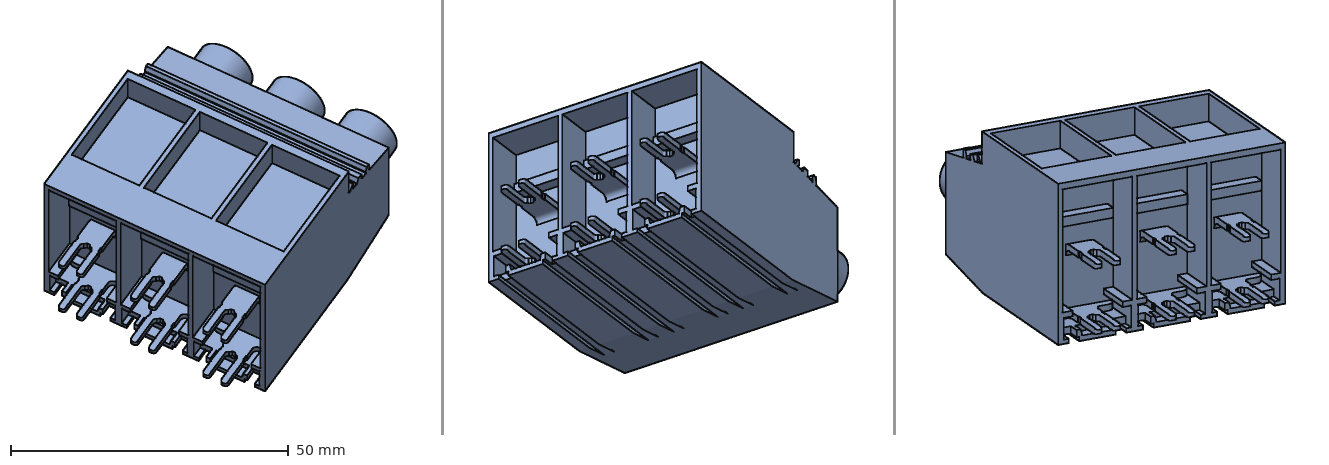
import cadquery as cq
import math


POLE_COUNT = 3
POLE_PITCH = 15.0
WALL = 0.95
HOUSING_WIDTH = POLE_COUNT * POLE_PITCH + WALL
HOUSING_DEPTH = 44.3
HOUSING_HEIGHT = 31.0
POLE_CENTERS = [(i - (POLE_COUNT - 1) / 2) * POLE_PITCH for i in range(POLE_COUNT)]

STEP_Y = 30.0
SLOPE = math.tan(math.radians(10))
REAR_TOP_Z = 22.25
UNDERSIDE_SLOPE_Y = 29.55
REAR_BOTTOM_Z = (HOUSING_DEPTH - UNDERSIDE_SLOPE_Y) * SLOPE

RIB_CORNERS = [
    [(37.25, 25.1), (36.45, 25.2), (36.0, 24.25)],
    [(34.55, 25.15), (33.45, 25.3)],
    [(31.8, 25.0), (31.8, 26.0), (31.35, 26.0)],
]
RIB_FEET = [(37.4, 36.25), (34.6, 32.9), (31.3, 30.5)]

CAVITY_WIDTH = POLE_PITCH - WALL
CAVITY_DEPTH = 7.5
CAVITY_TOP_Z = 29.8
RAIL_BOTTOM_Z = 5.05
RAIL_TOP_Z = 6.1
RAIL_REACH = 1.95
LOWER_CAVITY_WIDTH = CAVITY_WIDTH - 0.45
SHELF_Z = 0.85
FLOOR_Z = 2.25
FLOOR_FRONT_Y = 2.25
CROSSBAR_WIDTH = 11.65
CROSSBAR_BOTTOM_Z = 20.4
CROSSBAR_TOP_Z = 22.3
CROSSBAR_REACH = 2.35

TONGUE_WIDTH = 8.5
RECESS_FLOOR_Z = 1.0
RECESS_FLOOR_WIDTH = 6.15
RECESS_TOP_WIDTH = 6.85
RECESS_DEPTH = 2.2

SLOT_OUTER_X = 5.8
SLOT_INNER_X = 3.7

POCKET_FRONT_Y = 8.3
POCKET_REAR_Y = 28.35
POCKET_DEPTH = 5.3

COLLAR_DIAMETER = 10.9
COLLAR_LENGTH = 7.3
COLLAR_Z = 13.8

SHEET = 1.25
PRONG_LENGTH = 4.4
PRONG_WIDTH = 1.35
FORK_WIDTH = 5.1
FORK_GAP = FORK_WIDTH - 2 * PRONG_WIDTH
GAP_FILLET = 0.5
GAP_NOTCH_DEPTH = 0.45
GAP_NOTCH_MOUTH = 1.45
GAP_NOTCH_END = 0.55
SIDE_NOTCH_DEPTH = 0.15
SIDE_NOTCH_LENGTH = 1.0
SIDE_NOTCH_OVERHANG = 0.85
TIP_FILLET = 0.5
TIP_TAPER_LENGTH = 0.85
TIP_TAPER_DROP = 0.2

UPPER_CONTACT_Z = 15.0
UPPER_GAP_END_Y = 1.75
BEND_RADIUS = 1.25

LOWER_CONTACT_Z = 2.4
LOWER_GAP_END_Y = 2.1
SHOULDER_WIDTH = 13.2
SHOULDER_Y = 5.7
SHOULDER_OUTER_FILLET = 1.6
SHOULDER_INNER_FILLET = 0.95


def block(width, y_range, z_range, x_center=0.0):
    """Box centred on x_center, between the given y and z limits."""
    y_min, y_max = y_range
    z_min, z_max = z_range
    box = cq.Workplane("XY").box(width, y_max - y_min, z_max - z_min, centered=(True, False, False))
    return box.translate((x_center, y_min, z_min))


def side_extrusion(points, width):
    """Extrude a closed (y, z) outline along X, centred on x = 0."""
    return cq.Workplane("YZ").polyline(points).close().extrude(width / 2, both=True)


def slope_z(y):
    """Height of the sloped rear top at y."""
    return REAR_TOP_Z + (HOUSING_DEPTH - y) * SLOPE


def housing_shell():
    outline = [
        (0, 0),
        (UNDERSIDE_SLOPE_Y, 0),
        (HOUSING_DEPTH, REAR_BOTTOM_Z),
        (HOUSING_DEPTH, REAR_TOP_Z),
    ]
    for (rear_y, front_y), corners in zip(RIB_FEET, RIB_CORNERS):
        outline.append((rear_y, slope_z(rear_y)))
        outline.extend(corners)
        outline.append((front_y, slope_z(front_y)))
    outline += [
        (STEP_Y, slope_z(STEP_Y)),
        (STEP_Y, HOUSING_HEIGHT),
        (0, HOUSING_HEIGHT),
    ]
    return side_extrusion(outline, HOUSING_WIDTH)


def cavity_space():
    """Empty space of one front cavity, for a pole at x = 0."""
    depth = (0, CAVITY_DEPTH)
    rail_gap = CAVITY_WIDTH - 2 * RAIL_REACH
    crossbar_y = (CAVITY_DEPTH - CROSSBAR_REACH, CAVITY_DEPTH)
    space = block(CAVITY_WIDTH, depth, (RAIL_TOP_Z, CAVITY_TOP_Z))
    space = space.union(block(rail_gap, depth, (RAIL_BOTTOM_Z, RAIL_TOP_Z)))
    space = space.union(block(LOWER_CAVITY_WIDTH, depth, (FLOOR_Z, RAIL_BOTTOM_Z)))
    space = space.union(block(LOWER_CAVITY_WIDTH, (0, FLOOR_FRONT_Y), (SHELF_Z, FLOOR_Z)))
    space = space.cut(block(TONGUE_WIDTH, depth, (SHELF_Z, FLOOR_Z)))
    space = space.cut(block(CROSSBAR_WIDTH, crossbar_y, (CROSSBAR_BOTTOM_Z, CROSSBAR_TOP_Z)))
    return space.union(tongue_recess())


def tongue_recess():
    """Trapezoidal recess in the front of the tongue, open at the top."""
    outline = [
        (-RECESS_FLOOR_WIDTH / 2, RECESS_FLOOR_Z),
        (RECESS_FLOOR_WIDTH / 2, RECESS_FLOOR_Z),
        (RECESS_TOP_WIDTH / 2, FLOOR_Z),
        (-RECESS_TOP_WIDTH / 2, FLOOR_Z),
    ]
    return cq.Workplane("XZ").polyline(outline).close().extrude(-RECESS_DEPTH)


def underside_slots():
    """The two slots along the underside of a pole at x = 0."""
    width = SLOT_OUTER_X - SLOT_INNER_X
    center = (SLOT_OUTER_X + SLOT_INNER_X) / 2
    length = (0, HOUSING_DEPTH)
    left = block(width, length, (0, SHELF_Z), -center)
    return left.union(block(width, length, (0, SHELF_Z), center))


def label_pocket():
    """Pocket in the top face of a pole at x = 0."""
    depth = (HOUSING_HEIGHT - POCKET_DEPTH, HOUSING_HEIGHT)
    return block(CAVITY_WIDTH, (POCKET_FRONT_Y, POCKET_REAR_Y), depth)


def make_housing():
    body = housing_shell()
    for x in POLE_CENTERS:
        for space in (cavity_space(), underside_slots(), label_pocket()):
            body = body.cut(space.translate((x, 0, 0)))
        body = body.cut(make_upper_contact(x))
    return body


def make_collar(x):
    plane = cq.Workplane("XZ", origin=(x, HOUSING_DEPTH, COLLAR_Z))
    return plane.circle(COLLAR_DIAMETER / 2).extrude(-COLLAR_LENGTH)


def fork_gap(end_y, z):
    """Space between the two prongs: rounded inner corners and a tapered end notch."""
    gap = block(FORK_GAP, (-PRONG_LENGTH, end_y), (z, z + SHEET))
    gap = gap.edges("|Z and >Y").fillet(GAP_FILLET)
    notch_outline = [
        (-GAP_NOTCH_MOUTH / 2, end_y),
        (GAP_NOTCH_MOUTH / 2, end_y),
        (GAP_NOTCH_END / 2, end_y + GAP_NOTCH_DEPTH),
        (-GAP_NOTCH_END / 2, end_y + GAP_NOTCH_DEPTH),
    ]
    notch = cq.Workplane("XY", origin=(0, 0, z)).polyline(notch_outline).close().extrude(SHEET)
    return gap.union(notch)


def side_notches(gap_end_y, z):
    """Shallow notches in the two outer sides of a fork."""
    rear_y = gap_end_y + SIDE_NOTCH_OVERHANG
    y_range = (rear_y - SIDE_NOTCH_LENGTH, rear_y)
    z_range = (z, z + SHEET)
    band = block(FORK_WIDTH, y_range, z_range)
    return band.cut(block(FORK_WIDTH - 2 * SIDE_NOTCH_DEPTH, y_range, z_range))


def fork(rear_y, gap_end_y, z):
    """Flat two-pronged plate with rounded, tapered tips and its underside at z."""
    plate = block(FORK_WIDTH, (-PRONG_LENGTH, rear_y), (z, z + SHEET))
    plate = plate.cut(fork_gap(gap_end_y, z)).edges("|Z and <Y").fillet(TIP_FILLET)
    plate = plate.cut(side_notches(gap_end_y, z))
    taper_y = -PRONG_LENGTH + TIP_TAPER_LENGTH
    side_outline = [
        (-PRONG_LENGTH, z + TIP_TAPER_DROP),
        (taper_y, z),
        (rear_y, z),
        (rear_y, z + SHEET),
        (taper_y, z + SHEET),
        (-PRONG_LENGTH, z + SHEET - TIP_TAPER_DROP),
    ]
    return plate.intersect(side_extrusion(side_outline, FORK_WIDTH))


def wall_bend():
    """Quarter bend that turns the upper contact down into the cavity wall."""
    axis_y = CAVITY_DEPTH - BEND_RADIUS
    axis_z = UPPER_CONTACT_Z - BEND_RADIUS
    outer_radius = BEND_RADIUS + SHEET
    diagonal = math.sqrt(0.5)
    inner_mid = (axis_y + BEND_RADIUS * diagonal, axis_z + BEND_RADIUS * diagonal)
    outer_mid = (axis_y + outer_radius * diagonal, axis_z + outer_radius * diagonal)
    return (
        cq.Workplane("YZ")
        .moveTo(axis_y, axis_z + BEND_RADIUS)
        .threePointArc(inner_mid, (axis_y + BEND_RADIUS, axis_z))
        .lineTo(axis_y + outer_radius, axis_z)
        .threePointArc(outer_mid, (axis_y, axis_z + outer_radius))
        .close()
        .extrude(FORK_WIDTH / 2, both=True)
    )


def make_upper_contact(x):
    flat = fork(CAVITY_DEPTH - BEND_RADIUS, UPPER_GAP_END_Y, UPPER_CONTACT_Z)
    return flat.union(wall_bend()).translate((x, 0, 0))


def make_lower_contact(x):
    z_range = (LOWER_CONTACT_Z, LOWER_CONTACT_Z + SHEET)
    shoulder = block(SHOULDER_WIDTH, (SHOULDER_Y, CAVITY_DEPTH), z_range)
    shoulder = shoulder.edges("|Z and <Y").fillet(SHOULDER_OUTER_FILLET)
    contact = fork(CAVITY_DEPTH, LOWER_GAP_END_Y, LOWER_CONTACT_Z).union(shoulder)
    middle_z = LOWER_CONTACT_Z + SHEET / 2
    for side in (-1, 1):
        corner = cq.selectors.NearestToPointSelector((side * FORK_WIDTH / 2, SHOULDER_Y, middle_z))
        contact = contact.edges(corner).fillet(SHOULDER_INNER_FILLET)
    return contact.translate((x, 0, 0))


housing = make_housing()
collars = [make_collar(x).val() for x in POLE_CENTERS]
upper_contacts = [make_upper_contact(x).val() for x in POLE_CENTERS]
lower_contacts = [make_lower_contact(x).val() for x in POLE_CENTERS]

result = cq.Compound.makeCompound([housing.val(), *collars, *upper_contacts, *lower_contacts])